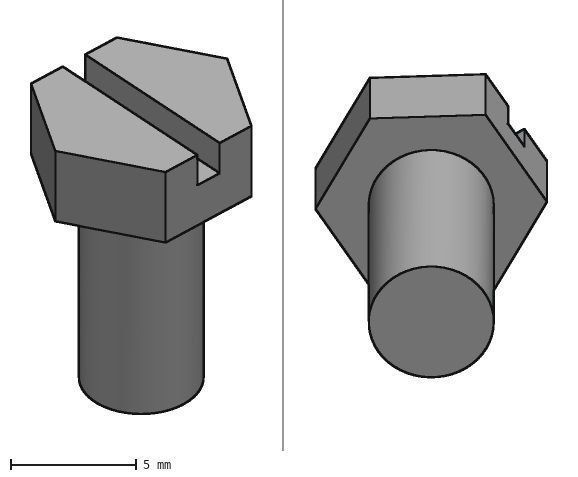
import cadquery as cq
import math

total_height = 13.5
head_height = 3.5
across_flats = 8.0
shank_diameter = 5.0
slot_width = 1.2
slot_depth = 1.5

shank_length = total_height - head_height
across_corners = across_flats / math.cos(math.pi / 6)

shank = cq.Workplane("XY").circle(shank_diameter / 2).extrude(shank_length)

head = (
    cq.Workplane("XY", origin=(0, 0, shank_length))
    .transformed(rotate=(0, 0, 90))
    .polygon(6, across_corners)
    .extrude(head_height)
)

slot = (
    cq.Workplane("XY", origin=(0, 0, total_height))
    .rect(across_flats, slot_width)
    .extrude(-slot_depth)
)

result = shank.union(head).cut(slot)